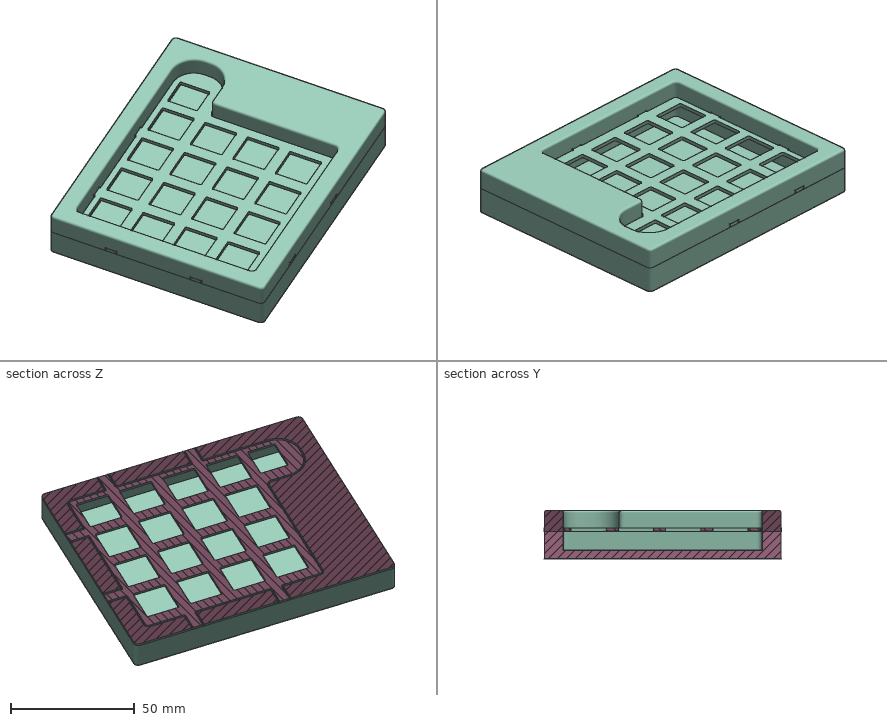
import cadquery as cq

case_width = 95.7
case_length = 114.8
case_height = 19.5
seam_height = 11.0
floor_thickness = 3.5
outer_corner_radius = 2.0
rim_radius = 1.0

pocket_half_width = 40.1
pocket_half_length = 49.5
pocket_step_y = 29.4
bay_width = 22.5
bay_radius = 10.0
pocket_corner_radius = 2.0

plate_thickness = 1.5
plate_clearance = 0.5
key_pitch = 19.0
key_count = 4
key_grid_x = -1.3
key_grid_y = -10.8
key_hole_width = 14.2
key_hole_length = 13.9
encoder_hole_width = 13.3
encoder_hole_length = 11.9
encoder_y = 35.1
hole_corner_radius = 0.5

tab_width = 4.4
slot_side_clearance = 0.5
slot_width = tab_width + 2 * slot_side_clearance
tab_root_radius = plate_clearance

key_offsets = [(i - (key_count - 1) / 2) * key_pitch for i in range(key_count)]
tab_offsets = [-key_pitch, key_pitch]
encoder_x = key_grid_x + key_offsets[0] - (key_hole_width - encoder_hole_width) / 2
plate_half_width = pocket_half_width - plate_clearance
plate_half_length = pocket_half_length - plate_clearance


def outer_block(bottom, height):
    """Full-size block with rounded upright corners."""
    return (
        cq.Workplane("XY", origin=(0, 0, bottom))
        .rect(case_width, case_length)
        .extrude(height)
        .edges("|Z")
        .fillet(outer_corner_radius)
    )


def pocket_block(bottom, height, clearance=0.0):
    """Prism with the pocket outline, shrunk all round by a clearance."""
    left = -pocket_half_width + clearance
    right = pocket_half_width - clearance
    front = -pocket_half_length + clearance
    back = pocket_half_length - clearance
    step = pocket_step_y - clearance
    bay_right = -pocket_half_width + bay_width - clearance
    arc_radius = bay_radius - clearance
    corner_radius = pocket_corner_radius - clearance
    inner_corner_radius = pocket_corner_radius + clearance

    prism = (
        cq.Workplane("XY", origin=(0, 0, bottom))
        .moveTo(left, front)
        .lineTo(right, front)
        .lineTo(right, step)
        .lineTo(bay_right, step)
        .lineTo(bay_right, back - arc_radius)
        .radiusArc((bay_right - arc_radius, back), -arc_radius)
        .lineTo(left + arc_radius, back)
        .radiusArc((left, back - arc_radius), -arc_radius)
        .close()
        .extrude(height)
    )
    corners = [(left, front), (right, front), (right, step)]
    for x, y in corners:
        prism = prism.edges(upright_edge_at(x, y)).fillet(corner_radius)
    return prism.edges(upright_edge_at(bay_right, step)).fillet(inner_corner_radius)


def upright_edge_at(x, y):
    """Selector for the upright edge that stands at a point."""
    reach = 0.1
    return cq.selectors.BoxSelector(
        (x - reach, y - reach, 0),
        (x + reach, y + reach, case_height),
    )


def tab_bars(width):
    """Bars at plate level across the front, left and right walls, flush with the outside."""
    front_depth = case_length / 2 - plate_half_length
    front_y = -(case_length / 2 + plate_half_length) / 2
    front_places = [(key_grid_x + offset, front_y) for offset in tab_offsets]
    side_depth = case_width / 2 - plate_half_width
    side_x = (case_width / 2 + plate_half_width) / 2
    side_places = [(side * side_x, key_grid_y + offset) for side in (-1, 1) for offset in tab_offsets]

    level = cq.Workplane("XY", origin=(0, 0, seam_height))
    front_bars = level.pushPoints(front_places).rect(width, front_depth).extrude(plate_thickness)
    side_bars = level.pushPoints(side_places).rect(side_depth, width).extrude(plate_thickness)
    return front_bars.add(side_bars).combine()


def make_base():
    """Tray that forms the lower part of the enclosure."""
    cavity = (
        cq.Workplane("XY", origin=(0, 0, floor_thickness))
        .rect(2 * pocket_half_width, 2 * pocket_half_length)
        .extrude(seam_height - floor_thickness)
        .edges("|Z")
        .fillet(pocket_corner_radius)
    )
    return outer_block(0, seam_height).cut(cavity)


def make_cover():
    """Frame with rounded rims and slots for the plate tabs."""
    cover_height = case_height - seam_height
    frame = outer_block(seam_height, cover_height).cut(pocket_block(seam_height, cover_height))
    frame = frame.faces(">Z").edges().fillet(rim_radius)
    return frame.cut(tab_bars(slot_width))


def key_holes():
    """Cutters for the grid of key switches."""
    places = [(key_grid_x + dx, key_grid_y + dy) for dx in key_offsets for dy in key_offsets]
    return (
        cq.Workplane("XY", origin=(0, 0, seam_height))
        .pushPoints(places)
        .rect(key_hole_width, key_hole_length)
        .extrude(plate_thickness)
        .edges("|Z")
        .fillet(hole_corner_radius)
    )


def encoder_hole():
    """Cutter for the rotary encoder in the bay."""
    return (
        cq.Workplane("XY", origin=(encoder_x, encoder_y, seam_height))
        .rect(encoder_hole_width, encoder_hole_length)
        .extrude(plate_thickness)
        .edges("|Z")
        .fillet(hole_corner_radius)
    )


def make_plate():
    """Switch plate that hangs in the pocket on its tabs."""
    plate = pocket_block(seam_height, plate_thickness, plate_clearance).union(tab_bars(tab_width))
    for offset in tab_offsets:
        for edge_side in (-1, 1):
            along = offset + edge_side * tab_width / 2
            roots = [
                (key_grid_x + along, -plate_half_length),
                (-plate_half_width, key_grid_y + along),
                (plate_half_width, key_grid_y + along),
            ]
            for x, y in roots:
                plate = plate.edges(upright_edge_at(x, y)).fillet(tab_root_radius)
    return plate.cut(key_holes()).cut(encoder_hole())


base = make_base()
plate = make_plate()
cover = make_cover()

result = cq.Compound.makeCompound([base.solids().val(), plate.solids().val(), cover.solids().val()])